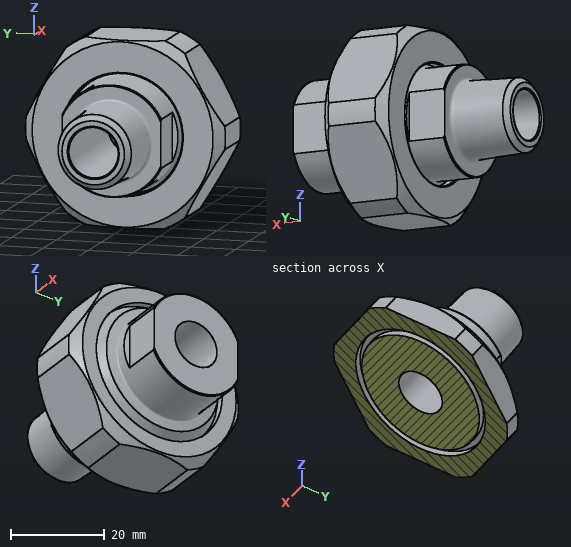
import cadquery as cq
import math

LENGTH = 52.0
BORE_RADIUS = 11.0 / 2
HUB_RADIUS = 24.5 / 2
HUB_CHAMFER_LENGTH = 0.25
HUB_CHAMFER_DEPTH = 0.2
FLAT_HALF_WIDTH = 22.05 / 2

NUT_START = 22.45
NUT_WIDTH = 15.95
NUT_END = NUT_START + NUT_WIDTH
NUT_ACROSS_FLATS = 41.0
NUT_CORNER_RADIUS = 44.65 / 2
NUT_CHAMFER = 2.15
NUT_LIP = 4.65
NUT_BORE_RADIUS = 26.5 / 2
NUT_BORE_CHAMFER = 0.25
THREAD_RADIUS = 33.1 / 2

TIP_RADIUS = 6.95
TIP_CHAMFER_LENGTH = 1.2
TAPER_START_RADIUS = 8.15
TAPER_END = 13.2
TAPER_END_RADIUS = 8.6
MALE_HUB_START = 14.0
TAPER_FILLET = MALE_HUB_START - TAPER_END
BORE_CHAMFER = 0.25
MALE_FLAT_END = 22.85
NECK_FILLET = NUT_BORE_RADIUS - HUB_RADIUS
NECK_START = 24.7
COLLAR_START = NUT_START + NUT_LIP
COLLAR_RADIUS = 30.3 / 2
JOINT_X = 30.15

RIM_CHAMFER_START = 36.6
RIM_RADIUS = 29.5 / 2
SHOULDER_LEAN = math.radians(10)
SHOULDER_FILLET = 0.4
FEMALE_HUB_START = 40.4
FEMALE_FLAT_START = 42.95
FLAT_RUNOUT = 0.35


def revolve_about_x(profile):
    """Turn a closed (x, radius) profile into a solid about the X axis."""
    return profile.close().revolve(360, (0, 0, 0), (1, 0, 0))


def wrench_flat_cutters(end_x, wall_base_x, wall_top_x):
    """Two blocks, on +Y and -Y, whose wall runs from the flat to the hub surface."""
    cutters = cq.Workplane("XY")
    for side in (1, -1):
        cutters = cutters.add(
            cq.Workplane("XY")
            .moveTo(end_x, side * FLAT_HALF_WIDTH)
            .lineTo(wall_base_x, side * FLAT_HALF_WIDTH)
            .lineTo(wall_top_x, side * HUB_RADIUS)
            .lineTo(wall_top_x, side * NUT_BORE_RADIUS)
            .lineTo(end_x, side * NUT_BORE_RADIUS)
            .close()
            .extrude(HUB_RADIUS, both=True)
        )
    return cutters.combine()


def make_male_piece():
    """Tapered male end, hub with wrench flats, and the collar held by the nut."""
    diagonal = math.sqrt(0.5)
    profile = (
        cq.Workplane("XY")
        .moveTo(0, BORE_RADIUS + BORE_CHAMFER)
        .lineTo(0, TIP_RADIUS)
        .lineTo(TIP_CHAMFER_LENGTH, TAPER_START_RADIUS)
        .lineTo(TAPER_END, TAPER_END_RADIUS)
        .threePointArc(
            (TAPER_END + TAPER_FILLET * diagonal, TAPER_END_RADIUS + TAPER_FILLET * (1 - diagonal)),
            (MALE_HUB_START, TAPER_END_RADIUS + TAPER_FILLET),
        )
        .lineTo(MALE_HUB_START, HUB_RADIUS - HUB_CHAMFER_DEPTH)
        .lineTo(MALE_HUB_START + HUB_CHAMFER_LENGTH, HUB_RADIUS)
        .lineTo(NECK_START - NECK_FILLET, HUB_RADIUS)
        .threePointArc(
            (NECK_START - NECK_FILLET * (1 - diagonal), HUB_RADIUS + NECK_FILLET * (1 - diagonal)),
            (NECK_START, NUT_BORE_RADIUS),
        )
        .lineTo(COLLAR_START, NUT_BORE_RADIUS)
        .lineTo(COLLAR_START, COLLAR_RADIUS)
        .lineTo(JOINT_X, COLLAR_RADIUS)
        .lineTo(JOINT_X, BORE_RADIUS)
        .lineTo(BORE_CHAMFER, BORE_RADIUS)
    )
    flats = wrench_flat_cutters(MALE_HUB_START, MALE_FLAT_END, MALE_FLAT_END)
    return revolve_about_x(profile).cut(flats)


def make_nut():
    """Hexagon nut with turned corners, chamfered ends, a lip and a threaded bore."""
    hexagon = (
        cq.Workplane("YZ", origin=(NUT_START, 0, 0))
        .polygon(6, NUT_ACROSS_FLATS / math.cos(math.pi / 6))
        .extrude(NUT_WIDTH)
    )
    envelope = (
        cq.Workplane("YZ", origin=(NUT_START, 0, 0))
        .circle(NUT_CORNER_RADIUS)
        .extrude(NUT_WIDTH)
        .faces("<X or >X")
        .chamfer(NUT_CHAMFER)
    )
    opening = revolve_about_x(
        cq.Workplane("XY")
        .moveTo(NUT_START, 0)
        .lineTo(NUT_START, NUT_BORE_RADIUS + NUT_BORE_CHAMFER)
        .lineTo(NUT_START + NUT_BORE_CHAMFER, NUT_BORE_RADIUS)
        .lineTo(COLLAR_START, NUT_BORE_RADIUS)
        .lineTo(COLLAR_START, THREAD_RADIUS)
        .lineTo(NUT_END, THREAD_RADIUS)
        .lineTo(NUT_END, 0)
    )
    return hexagon.intersect(envelope).cut(opening)


def make_female_piece():
    """Rim that screws into the nut, and a hub with wrench flats."""
    fillet_x = FEMALE_HUB_START
    fillet_radius = HUB_RADIUS + SHOULDER_FILLET
    tangent_x = fillet_x - SHOULDER_FILLET * math.cos(SHOULDER_LEAN)
    tangent_radius = fillet_radius - SHOULDER_FILLET * math.sin(SHOULDER_LEAN)
    rim_x = tangent_x - (RIM_RADIUS - tangent_radius) * math.tan(SHOULDER_LEAN)
    mid_angle = (SHOULDER_LEAN + math.pi / 2) / 2
    fillet_middle = (
        fillet_x - SHOULDER_FILLET * math.cos(mid_angle),
        fillet_radius - SHOULDER_FILLET * math.sin(mid_angle),
    )
    profile = (
        cq.Workplane("XY")
        .moveTo(JOINT_X, BORE_RADIUS)
        .lineTo(JOINT_X, THREAD_RADIUS)
        .lineTo(RIM_CHAMFER_START, THREAD_RADIUS)
        .lineTo(rim_x, RIM_RADIUS)
        .lineTo(tangent_x, tangent_radius)
        .threePointArc(fillet_middle, (fillet_x, HUB_RADIUS))
        .lineTo(LENGTH - HUB_CHAMFER_LENGTH, HUB_RADIUS)
        .lineTo(LENGTH, HUB_RADIUS - HUB_CHAMFER_DEPTH)
        .lineTo(LENGTH, BORE_RADIUS)
    )
    flats = wrench_flat_cutters(LENGTH, FEMALE_FLAT_START, FEMALE_FLAT_START - FLAT_RUNOUT)
    return revolve_about_x(profile).cut(flats)


male_piece = make_male_piece()
nut = make_nut()
female_piece = make_female_piece()

result = cq.Compound.makeCompound([male_piece.val(), nut.val(), female_piece.val()])